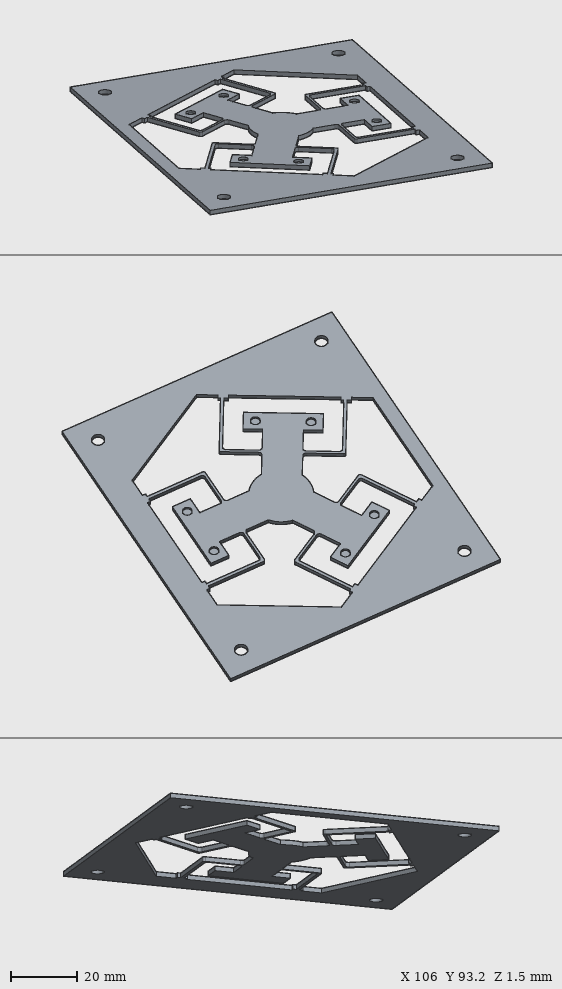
import cadquery as cq
import math

plate_length = 106.0
plate_width = 93.2
plate_thickness = 1.5
corner_hole_diameter = 4.0
corner_hole_inset = 8.1

near_side_distance = 37.1
far_side_distance = 41.7
window_shift = -0.3

arm_count = 3
arm_angle = 360.0 / arm_count
hub_radius = 10.0
stem_width = 12.4
head_width = 24.3
head_height = 6.3
head_end_distance = 31.0
pin_hole_diameter = 3.0
pin_hole_spacing = 16.9
pin_hole_depth = plate_thickness / 2

leg_outer_offset = 19.2
leg_thickness = 1.1
link_inner_distance = 16.0
link_thickness = 0.8
inner_fillet = 1.0
outer_fillet = 0.6
root_width = 3.2
root_height = 1.1
leg_overlap = 0.5

head_inner_distance = head_end_distance - head_height
pin_hole_distance = head_end_distance - head_height / 2


def block(x_min, x_max, y_min, y_max):
    """Full-thickness rectangular block between the given limits."""
    return (
        cq.Workplane("XY")
        .center((x_min + x_max) / 2, (y_min + y_max) / 2)
        .rect(x_max - x_min, y_max - y_min)
        .extrude(plate_thickness)
    )


def around_hub(body):
    """The body repeated at every arm direction."""
    copies = body
    for i in range(1, arm_count):
        copies = copies.union(body.rotate((0, 0, 0), (0, 0, 1), i * arm_angle))
    return copies


def make_frame():
    """Rectangular plate with corner holes and the hexagonal window."""
    plate = block(-plate_length / 2, plate_length / 2, -plate_width / 2, plate_width / 2)

    near_half_length = (2 * far_side_distance - near_side_distance) / math.sqrt(3)
    corner_radius = math.hypot(near_half_length, near_side_distance)
    corner_angle = math.degrees(math.atan2(near_half_length, near_side_distance))
    corners = []
    for i in range(arm_count):
        for side in (-1, 1):
            angle = math.radians(90 + i * arm_angle + side * corner_angle)
            corners.append((corner_radius * math.cos(angle), corner_radius * math.sin(angle)))
    window = cq.Workplane("XY").polyline(corners).close().extrude(plate_thickness)

    root_centre = leg_outer_offset - leg_thickness / 2
    root = block(
        root_centre - root_width / 2,
        root_centre + root_width / 2,
        near_side_distance - root_height,
        near_side_distance,
    )
    window = window.cut(around_hub(root.union(root.mirror("YZ"))))
    window = window.translate((0, window_shift, 0))

    hole_spacing_x = plate_length - 2 * corner_hole_inset
    hole_spacing_y = plate_width - 2 * corner_hole_inset
    corner_holes = (
        cq.Workplane("XY")
        .rect(hole_spacing_x, hole_spacing_y, forConstruction=True)
        .vertices()
        .circle(corner_hole_diameter / 2)
        .extrude(plate_thickness)
    )
    return plate.cut(window).cut(corner_holes)


def make_flexure():
    """Flexure on the +X side of the +Y arm, its leg running into the frame."""
    stem_edge = stem_width / 2
    leg_inner_offset = leg_outer_offset - leg_thickness
    link_outer_distance = link_inner_distance + link_thickness
    link = block(0, leg_outer_offset, link_inner_distance, link_outer_distance)
    leg = block(leg_inner_offset, leg_outer_offset, link_inner_distance, near_side_distance + leg_overlap)
    stem = block(0, stem_edge, 0, head_inner_distance)
    rounded_corners = [
        (stem_edge, link_inner_distance, inner_fillet),
        (stem_edge, link_outer_distance, inner_fillet),
        (leg_inner_offset, link_outer_distance, inner_fillet),
        (leg_outer_offset, link_inner_distance, outer_fillet),
    ]
    flexure = link.union(leg).union(stem)
    for x, y, radius in rounded_corners:
        edge = cq.selectors.NearestToPointSelector((x, y, plate_thickness / 2))
        flexure = flexure.edges("|Z").edges(edge).fillet(radius)

    return flexure


def make_arm():
    """Arm along +Y with its T-shaped head and both flexures."""
    stem = block(-stem_width / 2, stem_width / 2, 0, head_inner_distance)
    head = block(-head_width / 2, head_width / 2, head_inner_distance, head_end_distance)
    flexure = make_flexure()
    return stem.union(head).union(flexure).union(flexure.mirror("YZ"))


def make_pin_holes():
    """Blind holes sunk from the top face into one head."""
    return (
        cq.Workplane("XY", origin=(0, 0, plate_thickness - pin_hole_depth))
        .pushPoints([(side * pin_hole_spacing / 2, pin_hole_distance) for side in (-1, 1)])
        .circle(pin_hole_diameter / 2)
        .extrude(pin_hole_depth)
    )


hub = cq.Workplane("XY").circle(hub_radius).extrude(plate_thickness)
stage = hub.union(around_hub(make_arm())).cut(around_hub(make_pin_holes()))
result = make_frame().union(stage)